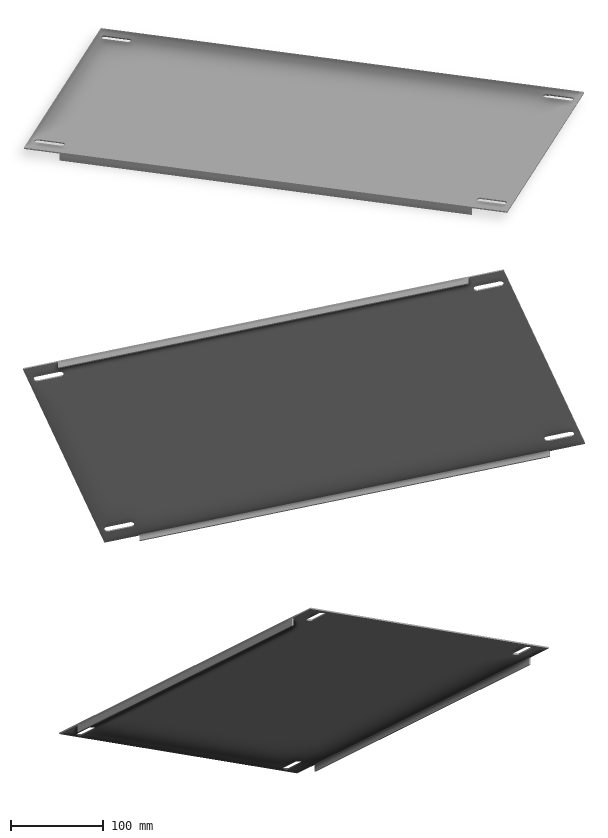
import cadquery as cq

length = 544.0
width = 297.0
height = 10.0

sheet_thickness = 1.5
flange_length = 464.0

slot_length = 34.0
slot_width = 7.5
slot_spacing_x = 498.0
slot_spacing_y = 257.5


def make_panel():
    """Flat rectangular sheet with its top face at Z = 0."""
    return cq.Workplane("XY").rect(length, width).extrude(-sheet_thickness)


def make_flange(side):
    """Lip hanging from the front (side = -1) or rear (side = 1) edge."""
    center_y = side * (width - sheet_thickness) / 2
    return (
        cq.Workplane("XY")
        .center(0, center_y)
        .rect(flange_length, sheet_thickness)
        .extrude(-height)
    )


def make_slots():
    """Four round-ended through slots near the corners."""
    return (
        cq.Workplane("XY")
        .rect(slot_spacing_x, slot_spacing_y, forConstruction=True)
        .vertices()
        .slot2D(slot_length, slot_width)
        .extrude(-sheet_thickness)
    )


result = make_panel()
for side in (-1, 1):
    result = result.union(make_flange(side))
result = result.cut(make_slots())